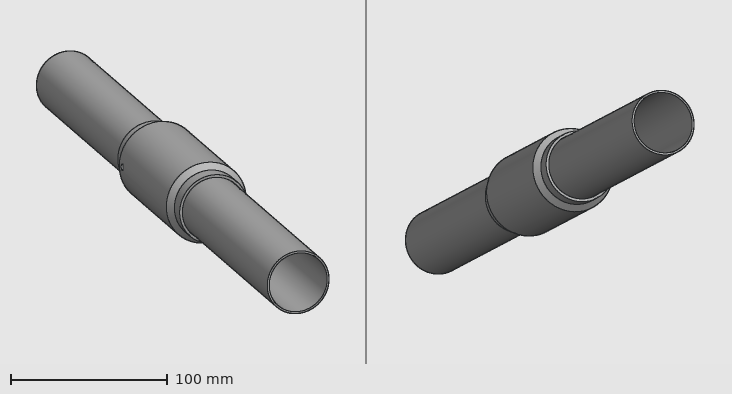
import cadquery as cq

pipe_length = 450.0
pipe_outer_diameter = 42.0
pipe_inner_diameter = 39.0

sleeve_bore_diameter = 42.5
collar_diameter = 46.0
collar_span = 120.5
barrel_diameter = 54.0
barrel_span = 100.0

port_diameter = 4.0
port_x = -40.0
port_z = 1.0


def cylinder_along_x(diameter, length):
    """Solid cylinder on the X axis, centred on the origin."""
    start_plane = cq.Workplane("YZ", origin=(-length / 2, 0, 0))
    return start_plane.circle(diameter / 2).extrude(length)


def make_pipe():
    outside = cylinder_along_x(pipe_outer_diameter, pipe_length)
    return outside.cut(cylinder_along_x(pipe_inner_diameter, pipe_length))


def make_port_cutter():
    """Cylinder running outward through the -Y side of the barrel."""
    return (
        cq.Workplane("XZ")
        .center(port_x, port_z)
        .circle(port_diameter / 2)
        .extrude(barrel_diameter)
    )


def make_sleeve():
    chamfer = (barrel_diameter - collar_diameter) / 2
    barrel = cylinder_along_x(barrel_diameter, barrel_span).faces("<X or >X").edges().chamfer(chamfer)
    outside = barrel.union(cylinder_along_x(collar_diameter, collar_span))
    bored = outside.cut(cylinder_along_x(sleeve_bore_diameter, collar_span))
    return bored.cut(make_port_cutter())


pipe = make_pipe()
sleeve = make_sleeve()
result = cq.Compound.makeCompound([pipe.val(), sleeve.val()])